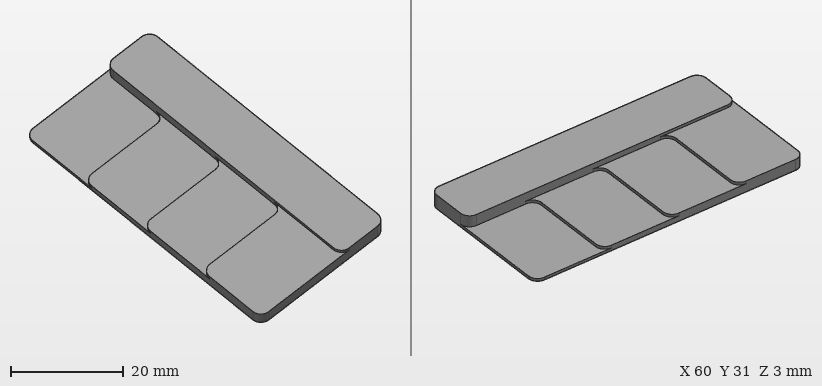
import cadquery as cq

LENGTH = 60.0
WIDTH = 31.0
CORNER_RADIUS = 2.0

STEP_COUNT = 4
STEP_HEIGHT = 0.6
STEP_LENGTH = LENGTH / STEP_COUNT

BAR_WIDTH = 11.0
BAR_HEIGHT = (STEP_COUNT + 1) * STEP_HEIGHT
BAR_FRONT_Y = WIDTH - BAR_WIDTH


def rounded_block(width, height):
    """Full-length block with rounded vertical edges, centred on X and starting at Y = 0."""
    return (
        cq.Workplane("XY")
        .box(LENGTH, width, height, centered=(True, False, False))
        .edges("|Z")
        .fillet(CORNER_RADIUS)
    )


def step_layer(index):
    """Solid from the underside to the top of one step, reaching from its left edge to the +X end.

    Its left edge is rounded outwards at the open -Y side and flares into the bar front.
    The right end follows the rounded corners of the plate and runs on under the bar.
    """
    left = -LENGTH / 2 + index * STEP_LENGTH
    height = (index + 1) * STEP_HEIGHT
    profile = (
        cq.Workplane("XY")
        .moveTo(LENGTH / 2, 0)
        .lineTo(left + CORNER_RADIUS, 0)
        .radiusArc((left, CORNER_RADIUS), CORNER_RADIUS)
        .lineTo(left, BAR_FRONT_Y - CORNER_RADIUS)
        .radiusArc((left - CORNER_RADIUS, BAR_FRONT_Y), -CORNER_RADIUS)
        .lineTo(left - CORNER_RADIUS, WIDTH)
        .lineTo(LENGTH / 2, WIDTH)
        .close()
    )
    return profile.extrude(height).intersect(rounded_block(WIDTH, height))


base = rounded_block(WIDTH, STEP_HEIGHT)
bar = rounded_block(BAR_WIDTH, BAR_HEIGHT).translate((0, BAR_FRONT_Y, 0))
result = base.union(bar)
for step in range(1, STEP_COUNT):
    result = result.union(step_layer(step))